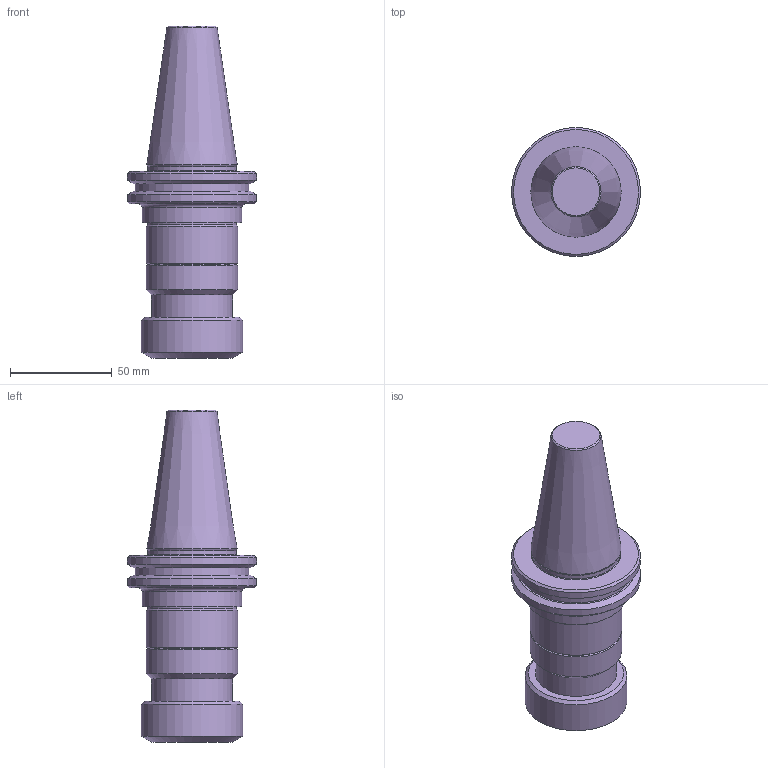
import cadquery as cq
import math


gauge_radius = 44.45 / 2
taper_length = 68.4
taper_slope = 7 / 24 / 2
taper_tip_radius = gauge_radius - taper_length * taper_slope
tip_chamfer = 0.5

upper_neck_radius = 21.8
upper_neck_chamfer_height = 0.8
upper_neck_fillet = 0.4

flange_radius = 63.5 / 2
flange_top = -3.2
flange_bottom = -19.1
flange_chamfer = 1.0
groove_centre = -11.1
groove_half_width = 3.55
groove_floor_radius = 55.8 / 2
groove_floor_half_width = 1.9
groove_flank_angle = math.radians(30)
groove_flank_depth = (groove_half_width - groove_floor_half_width) / math.tan(groove_flank_angle)
groove_step_radius = flange_radius - groove_flank_depth

collar_radius = 49.2 / 2
collar_bottom = -28.5
collar_fillet = 1.9

shank_radius = 45 / 2
relief_radius = 43.8 / 2
relief_end = -29.5
shank_top = relief_end - (shank_radius - relief_radius)
ring_groove_centre = -48.9
ring_groove_depth = 0.5
shank_end = -61.4

neck_radius = 39.9 / 2
neck_top = shank_end - (shank_radius - neck_radius)

nut_radius = 50 / 2
nut_top = -75.0
nut_bottom = -95.0
nut_top_chamfer = 1.5
nut_face_radius = 20.0
nut_cone_angle = math.radians(30)
nut_cone_height = (nut_radius - nut_face_radius) * math.tan(nut_cone_angle)


def revolve_about_z(profile):
    """Turn a closed (radius, height) profile once around the Z axis."""
    return profile.close().revolve(360, (0, 0, 0), (0, 1, 0))


def make_holder():
    """Taper, flange, collar, shank and neck as one turned solid."""
    profile = (
        cq.Workplane("XZ")
        .moveTo(0, taper_length)
        .lineTo(taper_tip_radius - tip_chamfer, taper_length)
        .lineTo(taper_tip_radius + tip_chamfer * taper_slope, taper_length - tip_chamfer)
        .lineTo(gauge_radius, 0)
        .lineTo(upper_neck_radius, -upper_neck_chamfer_height)
        .lineTo(upper_neck_radius, flange_top + upper_neck_fillet)
        .radiusArc((upper_neck_radius + upper_neck_fillet, flange_top), -upper_neck_fillet)
        .lineTo(flange_radius - flange_chamfer, flange_top)
        .lineTo(flange_radius, flange_top - flange_chamfer)
        .lineTo(flange_radius, groove_centre + groove_half_width)
        .lineTo(groove_step_radius, groove_centre + groove_floor_half_width)
        .lineTo(groove_floor_radius, groove_centre + groove_floor_half_width)
        .lineTo(groove_floor_radius, groove_centre - groove_floor_half_width)
        .lineTo(groove_step_radius, groove_centre - groove_floor_half_width)
        .lineTo(flange_radius, groove_centre - groove_half_width)
        .lineTo(flange_radius, flange_bottom + flange_chamfer)
        .lineTo(flange_radius - flange_chamfer, flange_bottom)
        .lineTo(collar_radius + collar_fillet, flange_bottom)
        .radiusArc((collar_radius, flange_bottom - collar_fillet), -collar_fillet)
        .lineTo(collar_radius, collar_bottom)
        .lineTo(relief_radius, collar_bottom)
        .lineTo(relief_radius, relief_end)
        .lineTo(shank_radius, shank_top)
        .lineTo(shank_radius, ring_groove_centre + ring_groove_depth)
        .lineTo(shank_radius - ring_groove_depth, ring_groove_centre)
        .lineTo(shank_radius, ring_groove_centre - ring_groove_depth)
        .lineTo(shank_radius, shank_end)
        .lineTo(neck_radius, neck_top)
        .lineTo(neck_radius, nut_top)
        .lineTo(0, nut_top)
    )
    return revolve_about_z(profile)


def make_nut():
    """Clamping nut seated against the end of the lower neck."""
    profile = (
        cq.Workplane("XZ")
        .moveTo(0, nut_top)
        .lineTo(nut_radius - nut_top_chamfer, nut_top)
        .lineTo(nut_radius, nut_top - nut_top_chamfer)
        .lineTo(nut_radius, nut_bottom + nut_cone_height)
        .lineTo(nut_face_radius, nut_bottom)
        .lineTo(0, nut_bottom)
    )
    return revolve_about_z(profile)


holder = make_holder()
nut = make_nut()

result = cq.Compound.makeCompound([holder.val(), nut.val()])